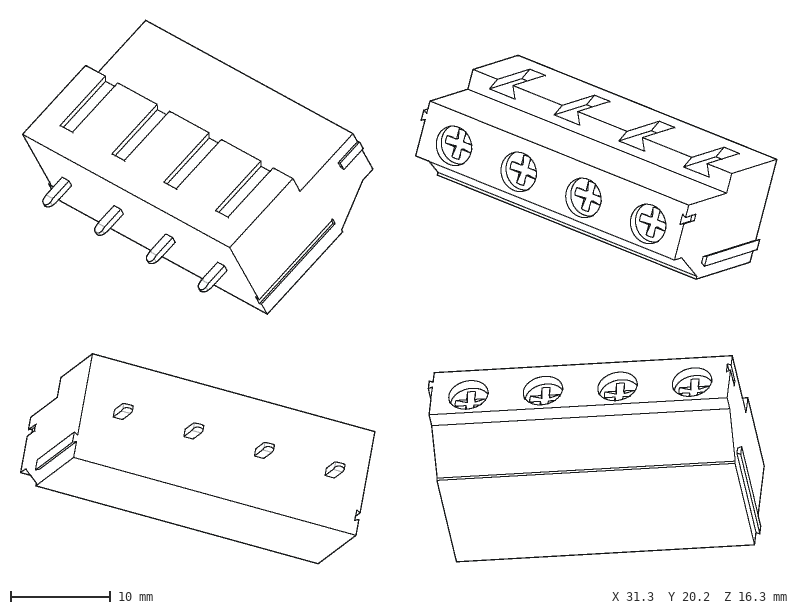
import cadquery as cq


TILT = 27.6
OVERALL_WIDTH = 31.28
RAIL_HEIGHT = 0.4
POLES = 4

LENGTH = 18.0
HEIGHT = 11.15
STEP_LENGTH = 8.2
STEP_DROP = 2.13
SCREW_FACE_HEIGHT = 5.95
NOSE_LENGTH = 1.55
BASE_LENGTH = 11.7
LIP_HEIGHT = 0.3

SLOT_MOUTH = 1.8
SLOT_FLOOR = 3.0
SLOT_DEPTH = 1.25
SLOT_LENGTH = 7.0

WELL_DIAMETER = 4.0
WELL_DEPTH = 1.1
WELL_RISE = 2.5
CROSS_SPAN = 3.05
CROSS_WIDTH = 0.8
CROSS_DEPTH = 0.63

PIN_WIDTH = 1.0
PIN_THICKNESS = 0.78
PIN_TIP_THICKNESS = 0.35
PIN_LENGTH = 3.4
PIN_STRAIGHT = 2.5
PIN_TIP_ROUNDING = PIN_WIDTH / 2
PIN_LEVEL = 5.63

LOWER_RAIL_LENGTH = 11.42
LOWER_RAIL_LEVEL = 2.05
UPPER_RAIL_LENGTH = 3.0
UPPER_RAIL_DROP = 1.7
UPPER_GROOVE_LENGTH = 2.25
RAIL_WIDTH = 1.1
RAIL_NECK = 0.7

BODY_WIDTH = OVERALL_WIDTH - 2 * RAIL_HEIGHT
PITCH = BODY_WIDTH / POLES
LEFT_X = -BODY_WIDTH / 2
RIGHT_X = BODY_WIDTH / 2
POLE_POSITIONS = [LEFT_X + (pole + 0.5) * PITCH for pole in range(POLES)]
STEP_TOP = HEIGHT - STEP_DROP
NOSE_BOTTOM = STEP_TOP - SCREW_FACE_HEIGHT
BASE_START = LENGTH - BASE_LENGTH
WELL_LEVEL = NOSE_BOTTOM + WELL_RISE
LOWER_RAIL_START = LENGTH - LOWER_RAIL_LENGTH
UPPER_RAIL_LEVEL = STEP_TOP - UPPER_RAIL_DROP


def housing():
    outline = [
        (0, NOSE_BOTTOM),
        (0, STEP_TOP),
        (-STEP_LENGTH, STEP_TOP),
        (-STEP_LENGTH, HEIGHT),
        (-LENGTH, HEIGHT),
        (-LENGTH, 0),
        (-BASE_START, 0),
        (-BASE_START, LIP_HEIGHT),
        (-NOSE_LENGTH, NOSE_BOTTOM),
    ]
    return cq.Workplane("YZ").polyline(outline).close().extrude(BODY_WIDTH / 2, both=True)


def top_slot(x):
    """Undercut slot, open towards the step."""
    section = [
        (x - SLOT_MOUTH / 2, HEIGHT),
        (x + SLOT_MOUTH / 2, HEIGHT),
        (x + SLOT_FLOOR / 2, HEIGHT - SLOT_DEPTH),
        (x - SLOT_FLOOR / 2, HEIGHT - SLOT_DEPTH),
    ]
    return cq.Workplane("XZ", origin=(0, -STEP_LENGTH, 0)).polyline(section).close().extrude(SLOT_LENGTH)


def screw_well(x):
    """Blind round well with a cross recess, deepening conically to its centre, in the floor."""
    well = cq.Workplane("XZ").center(x, WELL_LEVEL).circle(WELL_DIAMETER / 2).extrude(WELL_DEPTH)
    floor = cq.Workplane("XZ", origin=(x, -WELL_DEPTH, WELL_LEVEL))
    upright_arm = floor.rect(CROSS_WIDTH, CROSS_SPAN).extrude(CROSS_DEPTH)
    level_arm = floor.rect(CROSS_SPAN, CROSS_WIDTH).extrude(CROSS_DEPTH)
    cone = cq.Solid.makeCone(
        CROSS_SPAN / 2,
        0,
        CROSS_DEPTH,
        pnt=cq.Vector(x, -WELL_DEPTH, WELL_LEVEL),
        dir=cq.Vector(0, -1, 0),
    )
    recess = upright_arm.union(level_arm).intersect(cq.Workplane(obj=cone))
    return well.union(recess)


def pin(x):
    """Flat pin whose end is rounded in plan and tapers in thickness."""
    half_width = PIN_WIDTH / 2
    arc_start = PIN_LENGTH - PIN_TIP_ROUNDING
    plan = (
        cq.Workplane("XY", origin=(0, 0, -PIN_THICKNESS / 2))
        .moveTo(-half_width, 0)
        .lineTo(-half_width, -arc_start)
        .threePointArc((0, -PIN_LENGTH), (half_width, -arc_start))
        .lineTo(half_width, 0)
        .close()
        .extrude(PIN_THICKNESS)
    )
    side_outline = [
        (0, PIN_THICKNESS / 2),
        (-PIN_STRAIGHT, PIN_THICKNESS / 2),
        (-PIN_LENGTH, PIN_TIP_THICKNESS / 2),
        (-PIN_LENGTH, -PIN_TIP_THICKNESS / 2),
        (-PIN_STRAIGHT, -PIN_THICKNESS / 2),
        (0, -PIN_THICKNESS / 2),
    ]
    side = cq.Workplane("YZ").polyline(side_outline).close().extrude(half_width, both=True)
    return plan.intersect(side).translate((x, -LENGTH, PIN_LEVEL))


def dovetail(wall_x, level, start, length):
    """Dovetail bar starting at Y = -start and running towards -Y; it widens towards -X."""
    section = [
        (wall_x, level - RAIL_NECK / 2),
        (wall_x, level + RAIL_NECK / 2),
        (wall_x - RAIL_HEIGHT, level + RAIL_WIDTH / 2),
        (wall_x - RAIL_HEIGHT, level - RAIL_WIDTH / 2),
    ]
    return cq.Workplane("XZ", origin=(0, -start, 0)).polyline(section).close().extrude(length)


def mirrored(bar):
    return bar.mirror("YZ")


body = housing()
for pole_x in POLE_POSITIONS:
    body = body.cut(top_slot(pole_x)).cut(screw_well(pole_x)).union(pin(pole_x))


body = body.union(dovetail(LEFT_X, LOWER_RAIL_LEVEL, LOWER_RAIL_START, LOWER_RAIL_LENGTH))
body = body.cut(dovetail(RIGHT_X, LOWER_RAIL_LEVEL, LOWER_RAIL_START, LOWER_RAIL_LENGTH))
body = body.union(mirrored(dovetail(LEFT_X, UPPER_RAIL_LEVEL, 0, UPPER_RAIL_LENGTH)))
body = body.cut(mirrored(dovetail(RIGHT_X, UPPER_RAIL_LEVEL, 0, UPPER_GROOVE_LENGTH)))

result = body.rotate((0, 0, 0), (1, 0, 0), TILT)